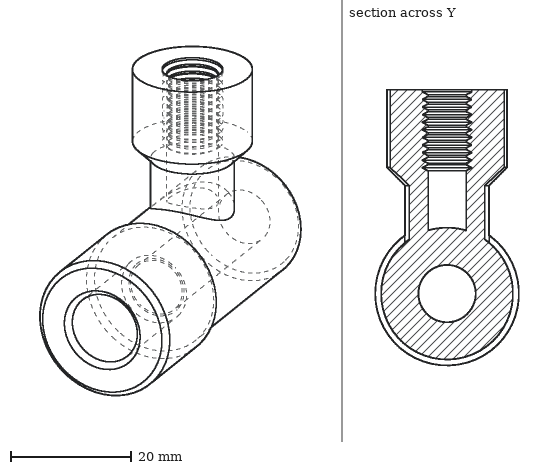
import cadquery as cq

run_length = 55.0
run_diameter = 22.0
collar_diameter = 24.0
collar_length = 20.0
edge_chamfer = 1.0

mouth_bore_diameter = 12.0
through_bore_diameter = 9.5
step_diameter = 10.2
mouth_bore_depth = collar_length

branch_y = 35.0
branch_top = 34.0
head_diameter = 20.0
head_length = 13.0
cone_length = 3.0
neck_diameter = 14.0

thread_minor_diameter = 8.65
thread_major_diameter = 10.1
thread_pitch = 1.25
thread_crest = 0.35
thread_turns = 10
lead_in_depth = 0.4


def revolve_about_y(points):
    """Revolve a closed (radius, y) outline about the run axis."""
    return cq.Workplane("XY").polyline(points).close().revolve(360, (0, 0), (0, 1))


def revolve_about_branch(points):
    """Revolve a closed (radius, z) outline about the branch axis."""
    plane = cq.Workplane("XZ", origin=(0, branch_y, 0))
    return plane.polyline(points).close().revolve(360, (0, 0), (0, 1))


def make_run():
    run_radius = run_diameter / 2
    collar_radius = collar_diameter / 2
    return revolve_about_y([
        (0, 0),
        (collar_radius - edge_chamfer, 0),
        (collar_radius, edge_chamfer),
        (collar_radius, collar_length - edge_chamfer),
        (run_radius, collar_length),
        (run_radius, run_length - edge_chamfer),
        (run_radius - edge_chamfer, run_length),
        (0, run_length),
    ])


def make_branch():
    head_radius = head_diameter / 2
    neck_radius = neck_diameter / 2
    head_bottom = branch_top - head_length
    return revolve_about_branch([
        (0, 0),
        (neck_radius, 0),
        (neck_radius, head_bottom - cone_length),
        (head_radius, head_bottom),
        (head_radius, branch_top),
        (0, branch_top),
    ])


def make_run_bore():
    mouth_radius = mouth_bore_diameter / 2
    step_radius = step_diameter / 2
    through_radius = through_bore_diameter / 2
    step_y = mouth_bore_depth + mouth_radius - step_radius
    return revolve_about_y([
        (0, 0),
        (mouth_radius + edge_chamfer, 0),
        (mouth_radius, edge_chamfer),
        (mouth_radius, mouth_bore_depth),
        (step_radius, step_y),
        (through_radius, step_y),
        (through_radius, run_length),
        (0, run_length),
    ])


def make_threaded_hole():
    """Pilot hole with V-shaped ring grooves; the topmost one is cut open by the end face."""
    minor_radius = thread_minor_diameter / 2
    major_radius = thread_major_diameter / 2
    half_groove = (thread_pitch - thread_crest) / 2
    lead_in_z = branch_top - lead_in_depth
    points = [
        (0, 0),
        (0, branch_top),
        (major_radius, branch_top),
        (major_radius, lead_in_z),
        (minor_radius, lead_in_z - half_groove),
    ]
    for turn in range(1, thread_turns + 1):
        root_z = lead_in_z - turn * thread_pitch
        points += [
            (minor_radius, root_z + half_groove),
            (major_radius, root_z),
            (minor_radius, root_z - half_groove),
        ]
    points.append((minor_radius, 0))
    return revolve_about_branch(points)


hollow_branch = make_branch().cut(make_threaded_hole())
result = make_run().union(hollow_branch).cut(make_run_bore())